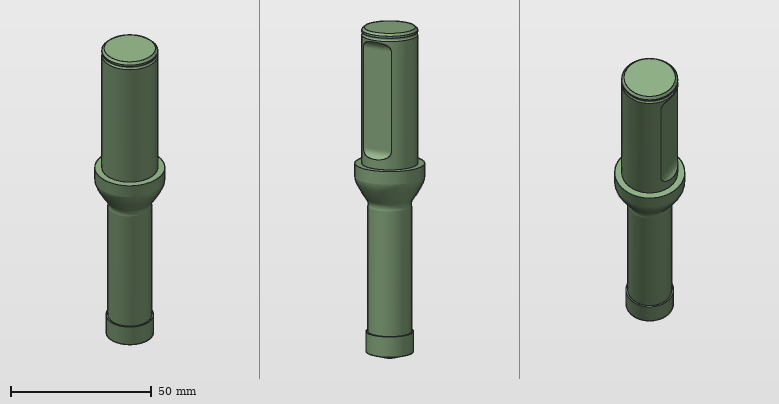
import cadquery as cq
import math

total_height = 122
cone_height = 2.7
head_top = 10.1
neck_top = 56.1
undercut_top = 59.2
flange_bottom = 67.1
flange_top = 72.0
groove_bottom = 119.2
groove_top = 120.4
chamfer_bottom = 121.1

head_radius = 17.0 / 2
neck_radius = 15.7 / 2
flange_radius = 25.0 / 2
shank_radius = 20.0 / 2
shank_end_radius = 9.2
undercut_depth = 0.1
groove_depth = 0.5

shoulder_middle_radius = 11.7
shoulder_middle_height = 64.4
shoulder_end_radius = 8.5
shoulder_end_angle = math.radians(35)

flat_offset = 8.0
flat_end_radius = 3.7
flat_bottom = 75.4
flat_top = 118.6


def revolve_about_axis(profile):
    """Turn a closed radius-height profile about the Z axis."""
    return profile.revolve(360, (0, 0, 0), (0, 1, 0))


def make_drill_head():
    """Cylindrical cutting head with a conical point."""
    profile = (
        cq.Workplane("XZ")
        .lineTo(head_radius, cone_height)
        .lineTo(head_radius, head_top)
        .lineTo(0, head_top)
        .close()
    )
    return revolve_about_axis(profile)


def make_turned_holder():
    """Neck, undercut, flange and grooved shank as one turned shape."""
    shoulder_points = [(shoulder_middle_radius, shoulder_middle_height), (flange_radius, flange_bottom)]
    shoulder_tangents = [(math.sin(shoulder_end_angle), math.cos(shoulder_end_angle)), (0, 1)]
    undercut_middle = (neck_radius - undercut_depth, neck_top + (undercut_top - neck_top) / 3)
    groove_middle = (shank_radius - groove_depth, (groove_bottom + groove_top) / 2)
    profile = (
        cq.Workplane("XZ")
        .moveTo(0, head_top)
        .lineTo(neck_radius, head_top)
        .lineTo(neck_radius, neck_top)
        .threePointArc(undercut_middle, (shoulder_end_radius, undercut_top))
        .spline(shoulder_points, tangents=shoulder_tangents, includeCurrent=True)
        .lineTo(flange_radius, flange_top)
        .lineTo(shank_radius, flange_top)
        .lineTo(shank_radius, groove_bottom)
        .threePointArc(groove_middle, (shank_radius, groove_top))
        .lineTo(shank_radius, chamfer_bottom)
        .lineTo(shank_end_radius, total_height)
        .lineTo(0, total_height)
        .close()
    )
    return revolve_about_axis(profile)


def make_flat_cutter():
    """Prism across the shank whose ends curve tangentially out of the flat."""
    depth = shank_radius - flat_offset
    run_out = math.sqrt(2 * flat_end_radius * depth - depth**2)
    end_angle = math.asin(run_out / flat_end_radius)
    middle_depth = flat_end_radius * (1 - math.cos(end_angle / 2))
    middle_run = flat_end_radius * math.sin(end_angle / 2)
    floor_bottom = flat_bottom + run_out
    floor_top = flat_top - run_out
    middle_offset = flat_offset + middle_depth
    return (
        cq.Workplane("YZ")
        .moveTo(shank_radius, flat_bottom)
        .threePointArc((middle_offset, floor_bottom - middle_run), (flat_offset, floor_bottom))
        .lineTo(flat_offset, floor_top)
        .threePointArc((middle_offset, floor_top + middle_run), (shank_radius, flat_top))
        .close()
        .extrude(shank_radius, both=True)
    )


drill_head = make_drill_head()
holder = make_turned_holder().cut(make_flat_cutter())

result = cq.Compound.makeCompound([drill_head.val(), holder.val()])